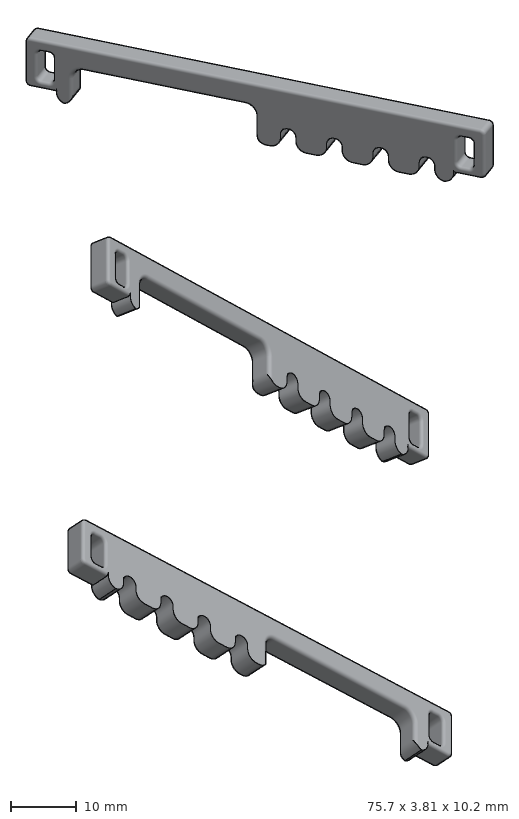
import cadquery as cq

length = 75.69
thickness = 3.81
height = 10.23

tip_radius = 1.78
bar_height = height - tip_radius
bar_corner_radius = 0.762
bar_edge_radius = 0.508

end_length = 5.14

slot_width = 2.7
slot_height = 5.4
slot_corner_radius = 0.762
slot_rim_radius = 0.508
slot_center_inset = 3.28
slot_center_z = -4.58

finger_width = 2.6
cutout_left = end_length + finger_width
cutout_right = 37.95
cutout_top = -3.81
cutout_corner_radius = 1.8
cutout_rim_radius = 0.66

notch_count = 4
notch_pitch = 7.62
notch_width = 2.54
notch_top = -6.6
first_notch_x = 43.29
notch_centers = [first_notch_x + i * notch_pitch for i in range(notch_count)]


def prism(x_left, x_right, z_bottom, z_top):
    """Rectangular block through the full thickness."""
    return (
        cq.Workplane("XY")
        .box(x_right - x_left, thickness, z_top - z_bottom)
        .translate(((x_left + x_right) / 2, 0, (z_bottom + z_top) / 2))
    )


def tooth(x_left, x_right):
    """Tooth with an arc on each side of its tip; on a narrow tooth the arcs meet in a blunt point."""
    overlap = 2 * tip_radius
    left_side = prism(x_left, x_right + overlap, -height, cutout_top)
    left_side = left_side.edges("|Y and <Z").edges("<X").fillet(tip_radius)
    right_side = prism(x_left - overlap, x_right, -height, cutout_top)
    right_side = right_side.edges("|Y and <Z").edges(">X").fillet(tip_radius)
    return left_side.intersect(right_side)


def make_bar():
    """Straight bar with rounded end corners and rounded edges on both faces."""
    bar = prism(0, length, -bar_height, 0).edges("|Y").fillet(bar_corner_radius)
    return bar.faces("<Y or >Y").edges().fillet(bar_edge_radius)


def make_envelope():
    """Bar plus the finger and the row of teeth below it."""
    tooth_lefts = [cutout_right] + [x + notch_width / 2 for x in notch_centers]
    tooth_rights = [x - notch_width / 2 for x in notch_centers] + [length - end_length]
    envelope = make_bar().union(tooth(end_length, cutout_left))
    for x_left, x_right in zip(tooth_lefts, tooth_rights):
        envelope = envelope.union(tooth(x_left, x_right))
    return envelope


def round_face_edges(body, x_range, z_range, radius):
    """Round the edges lying in the front and back faces within the given X and Z ranges."""
    window = cq.selectors.BoxSelector(
        (x_range[0], -thickness, z_range[0]),
        (x_range[1], thickness, z_range[1]),
    )
    return body.edges("#Y").edges(window).fillet(radius)


def make_slab():
    """Plain slab with the long cutout, its rim rounded over on both faces."""
    slab = prism(0, length, -height, 0)
    cutout = prism(cutout_left, cutout_right, -height, cutout_top)
    slab = slab.cut(cutout.edges("|Y and >Z").fillet(cutout_corner_radius))
    margin = cutout_rim_radius / 2
    return round_face_edges(
        slab,
        (cutout_left - margin, cutout_right + margin),
        (-height + margin, cutout_top + margin),
        cutout_rim_radius,
    )


def cut_slot(body, x):
    """Rounded-corner slot through the thickness, its rim rounded over on both faces."""
    x_left = x - slot_width / 2
    x_right = x + slot_width / 2
    z_bottom = slot_center_z - slot_height / 2
    z_top = slot_center_z + slot_height / 2
    body = body.cut(prism(x_left, x_right, z_bottom, z_top).edges("|Y").fillet(slot_corner_radius))
    return round_face_edges(body, (x_left, x_right), (z_bottom, z_top), slot_rim_radius)


def make_notch(x):
    """Notch with a semicircular top, open at the bottom."""
    radius = notch_width / 2
    arc_center_z = notch_top - radius
    arch = (
        cq.Workplane("XZ", origin=(x, 0, arc_center_z))
        .circle(radius)
        .extrude(thickness / 2, both=True)
    )
    return prism(x - radius, x + radius, -height, arc_center_z).union(arch)


result = make_slab()
for slot_x in (slot_center_inset, length - slot_center_inset):
    result = cut_slot(result, slot_x)
result = result.intersect(make_envelope())
for notch_x in notch_centers:
    result = result.cut(make_notch(notch_x))